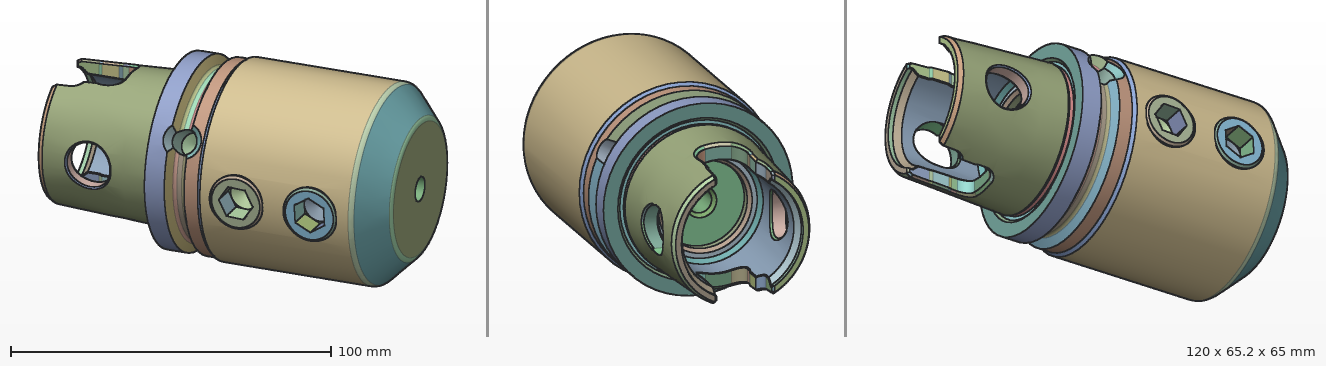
import cadquery as cq
import math

length = 120.0
body_radius = 32.5
shank_length = 39.8
flange_radius = 31.5

shank_tip_radius = 22.2
tip_bevel_length = 1.5
taper_start_radius = 23.0
taper_end_x = 38.6
taper_half_slope = 0.05
taper_end_radius = taper_start_radius + taper_half_slope * (taper_end_x - tip_bevel_length)

relief_start_x = 39.2
relief_floor_depth = 0.8
relief_root_radius = 24.6
relief_floor_radius = 25.8
relief_mouth_radius = 26.7

groove_start_x = 46.5
groove_end_x = 53.3
groove_floor_radius = 27.7
groove_flank_angle = 65.0
groove_corner_radius = 1.2
groove_flank_length = (flange_radius - groove_floor_radius) / math.tan(math.radians(groove_flank_angle))

body_step_x = 57.8
body_start_x = 59.0
nose_bevel_start_x = 110.1
nose_bevel = length - nose_bevel_start_x
bevel_shoulder_round = 2.4
nose_round = 2.4

bore_mouth_radius = 20.3
bore_radius = 18.6
bore_mouth_depth = 1.7
bore_mouth_cone_end_x = 3.8
bore_shoulder_x = 31.5
ledge_outer_radius = 17.3
ledge_inner_radius = 15.6
ledge_x = 33.3
inner_bore_radius = 14.4
inner_bore_bevel = ledge_inner_radius - inner_bore_radius
inner_bore_floor_x = 37.2
channel_radius = 4.0
channel_bevel = 1.2

slot_end_x = 21.8
slot_half_width = 8.3
slot_corner_radius = 4.0
slot_edge_chamfer = 1.0
slot_bore_chamfer = 0.2
slot_mouth_chamfer = 0.7
land_height = 0.4
land_half_width = slot_half_width - land_height
land_ramp_length = 1.2
land_start_x = 7.7
land_end_x = 15.8
slot_relief_half_width = 10.1
slot_relief_end_x = 9.2
slot_relief_radius = 3.6
slot_relief_step = slot_relief_half_width - land_half_width
slot_relief_arc_length = math.sqrt(slot_relief_step * (2 * slot_relief_radius - slot_relief_step))

cross_hole_x = 17.4
cross_hole_radius = 7.4
cross_hole_chamfer = 0.6
widening_x = 16.1
widening_radius = 7.9

radial_hole_x = 50.9
radial_hole_elevation = 30.0
radial_hole_radius = 4.1
radial_hole_floor = 20.6
drill_point_angle = 118.0
countersink_radius = 6.4
countersink_depth = countersink_radius - radial_hole_radius

screw_positions = ((71.3, -3.0), (96.2, 33.6))
screw_radius = 9.0
screw_head_y = -32.7
screw_length = 19.2
screw_bevel = 0.8
socket_across_flats = 10.0
socket_depth = 7.8
socket_corner_diameter = socket_across_flats / math.cos(math.radians(30))


def drill_tip_height(radius):
    """Height of the conical tip left by a drill of the given radius."""
    return radius / math.tan(math.radians(drill_point_angle / 2))


def revolve_about_x(profile):
    """Turn a closed profile drawn in (X, radius) about the X axis."""
    return profile.close().revolve(360, (0, 0, 0), (1, 0, 0))


def round_circle(blank, x, radius):
    """Round the turned edge that lies at the given X."""
    slack = 0.01
    edges = blank.edges(cq.selectors.BoxSelector(
        (x - slack, -length, -length), (x + slack, length, length))).edges("%CIRCLE")
    return edges.fillet(radius)


def holder_blank():
    profile = (
        cq.Workplane("XY")
        .moveTo(0, 0)
        .lineTo(0, shank_tip_radius)
        .lineTo(tip_bevel_length, taper_start_radius)
        .lineTo(taper_end_x, taper_end_radius)
        .lineTo(relief_start_x, relief_root_radius)
        .lineTo(shank_length + relief_floor_depth, relief_root_radius)
        .lineTo(shank_length + relief_floor_depth, relief_floor_radius)
        .lineTo(shank_length, relief_mouth_radius)
        .lineTo(shank_length, flange_radius)
        .lineTo(groove_start_x, flange_radius)
        .lineTo(groove_start_x + groove_flank_length, groove_floor_radius)
        .lineTo(groove_end_x - groove_flank_length, groove_floor_radius)
        .lineTo(groove_end_x, flange_radius)
        .lineTo(body_step_x, flange_radius)
        .lineTo(body_start_x, body_radius)
        .lineTo(nose_bevel_start_x, body_radius)
        .lineTo(length, body_radius - nose_bevel)
        .lineTo(length, 0)
    )
    blank = revolve_about_x(profile)
    blank = round_circle(blank, groove_start_x + groove_flank_length, groove_corner_radius)
    blank = round_circle(blank, groove_end_x - groove_flank_length, groove_corner_radius)
    blank = round_circle(blank, nose_bevel_start_x, bevel_shoulder_round)
    return round_circle(blank, length, nose_round)


def cut_slots(part):
    profile = (
        cq.Workplane("XY")
        .moveTo(0, slot_half_width)
        .lineTo(land_start_x, slot_half_width)
        .lineTo(land_start_x + land_ramp_length, land_half_width)
        .lineTo(land_end_x - land_ramp_length, land_half_width)
        .lineTo(land_end_x, slot_half_width)
        .lineTo(slot_end_x - slot_corner_radius, slot_half_width)
        .radiusArc((slot_end_x, slot_half_width - slot_corner_radius), slot_corner_radius)
        .lineTo(slot_end_x, slot_corner_radius - slot_half_width)
        .radiusArc((slot_end_x - slot_corner_radius, -slot_half_width), slot_corner_radius)
        .lineTo(land_end_x, -slot_half_width)
        .lineTo(land_end_x - land_ramp_length, -land_half_width)
        .lineTo(slot_relief_end_x, -land_half_width)
        .radiusArc((slot_relief_end_x - slot_relief_arc_length, -slot_relief_half_width), slot_relief_radius)
        .lineTo(0, -slot_relief_half_width)
        .close()
    )
    part = part.cut(profile.extrude(body_radius, both=True))
    for side in (1, -1):
        part = chamfer_slot_rim(part, side * bore_radius, side * body_radius, slot_edge_chamfer)
    return part


def chamfer_slot_rim(part, z_near, z_far, size):
    """Chamfer the slot edges between two heights, leaving the tip face and wall corners sharp."""
    half_width = slot_relief_half_width + size
    rim = cq.selectors.BoxSelector(
        (slot_edge_chamfer / 2, -half_width, z_near),
        (slot_end_x + size, half_width, z_far))
    return part.edges(rim).edges("not |Z").chamfer(size)


def chamfer_slot_bore_edges(part):
    slack = 0.1
    for side in (1, -1):
        part = chamfer_slot_rim(part, side * inner_bore_radius, side * (bore_radius + slack), slot_bore_chamfer)
    return part


def flare_slot_mouth(part):
    """Bevel the slot walls where they meet the tip face."""
    flare = (
        cq.Workplane("XY")
        .moveTo(0, slot_half_width + slot_mouth_chamfer)
        .lineTo(slot_mouth_chamfer, slot_half_width)
        .lineTo(slot_mouth_chamfer, -slot_relief_half_width)
        .lineTo(0, -slot_relief_half_width - slot_mouth_chamfer)
        .close()
        .extrude(body_radius, both=True)
    )
    return part.cut(flare)


def cut_bore(part):
    profile = (
        cq.Workplane("XY")
        .moveTo(0, 0)
        .lineTo(0, bore_mouth_radius)
        .lineTo(bore_mouth_depth, bore_mouth_radius)
        .lineTo(bore_mouth_cone_end_x, bore_radius)
        .lineTo(bore_shoulder_x, bore_radius)
        .lineTo(ledge_x, ledge_outer_radius)
        .lineTo(ledge_x, ledge_inner_radius)
        .lineTo(ledge_x + inner_bore_bevel, inner_bore_radius)
        .lineTo(inner_bore_floor_x, inner_bore_radius)
        .lineTo(inner_bore_floor_x, channel_radius + channel_bevel)
        .lineTo(inner_bore_floor_x + channel_bevel, channel_radius)
        .lineTo(length, channel_radius)
        .lineTo(length, 0)
    )
    return part.cut(revolve_about_x(profile))


def bore_along_y(x, radius, depth):
    """Round cutter from the shank axis out along Y; a negative depth points it toward -Y."""
    return cq.Workplane("XZ").center(x, 0).circle(radius).extrude(-depth)


def cut_cross_hole(part):
    part = part.cut(bore_along_y(cross_hole_x, cross_hole_radius, body_radius))
    part = part.cut(bore_along_y(cross_hole_x, cross_hole_radius, -body_radius))
    part = part.cut(bore_along_y(widening_x, widening_radius, body_radius))
    rim_reach = cross_hole_radius + cross_hole_chamfer
    for side in (1, -1):
        rim = cq.selectors.BoxSelector(
            (widening_x, side * inner_bore_radius, -rim_reach),
            (cross_hole_x + rim_reach, side * body_radius, rim_reach))
        part = part.edges(rim).edges("not |Y").chamfer(cross_hole_chamfer)
    return part


def radial_cutter(countersunk):
    """Drill standing on the axis along +Y, with a conical tip and an optional countersink."""
    rim = body_radius
    profile = (
        cq.Workplane("XY")
        .moveTo(0, radial_hole_floor - drill_tip_height(radial_hole_radius))
        .lineTo(radial_hole_radius, radial_hole_floor)
    )
    if countersunk:
        profile = (
            profile
            .lineTo(radial_hole_radius, flange_radius - countersink_depth)
            .lineTo(countersink_radius, flange_radius)
            .lineTo(countersink_radius, rim)
        )
    else:
        profile = profile.lineTo(radial_hole_radius, rim)
    return profile.lineTo(0, rim).close().revolve(360, (0, 0, 0), (0, 1, 0))


def cut_radial_holes(part):
    for elevation, countersunk in (
        (180 - radial_hole_elevation, True),
        (radial_hole_elevation, False),
    ):
        cutter = radial_cutter(countersunk).rotate((0, 0, 0), (1, 0, 0), elevation)
        part = part.cut(cutter.translate((radial_hole_x, 0, 0)))
    return part


def screw_head_plane(x):
    """Plane of a screw's outer face, looking out along -Y."""
    return cq.Plane(origin=(x, screw_head_y, 0), xDir=(1, 0, 0), normal=(0, -1, 0))


def screw_blank(x):
    """Plain cylinder filling one screw seat, pointing inward along +Y."""
    return cq.Workplane(screw_head_plane(x)).circle(screw_radius).extrude(-screw_length)


def screw(x, socket_turn):
    socket = (
        cq.Workplane(screw_head_plane(x).rotated((0, 0, socket_turn)))
        .polygon(6, socket_corner_diameter)
        .extrude(-socket_depth)
    )
    tip_radius = socket_across_flats / 2
    tip = cq.Workplane(cq.Solid.makeCone(
        tip_radius, 0, drill_tip_height(tip_radius),
        pnt=cq.Vector(x, screw_head_y + socket_depth, 0), dir=cq.Vector(0, 1, 0)))
    return screw_blank(x).faces("<Y").chamfer(screw_bevel).cut(socket).cut(tip)


def holder():
    part = cut_slots(holder_blank())
    part = cut_bore(part)
    part = chamfer_slot_bore_edges(part)
    part = flare_slot_mouth(part)
    part = cut_cross_hole(part)
    part = cut_radial_holes(part)
    for x, _ in screw_positions:
        part = part.cut(screw_blank(x))
    return part


tool_holder = holder()
screws = [screw(x, socket_turn) for x, socket_turn in screw_positions]

result = cq.Compound.makeCompound([tool_holder.val(), *[item.val() for item in screws]])